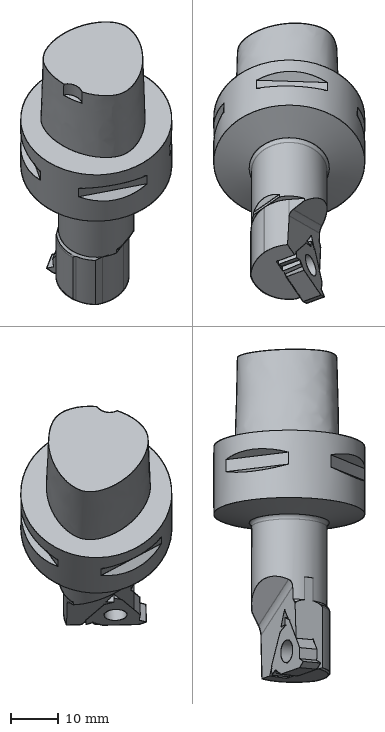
import cadquery as cq
import math

TOTAL_HEIGHT = 69
HEAD_BOTTOM_Z = 0.55
HEAD_CONE_Z = 14.15
HEAD_CONE_BREAK_Z = 14.55
NECK_BOTTOM_Z = 15.2
FLAT_TOP_Z = 20.15
NECK_FILLET_Z = 32.6
CONE_BOTTOM_Z = 33.5
FLANGE_BOTTOM_Z = 35.4
FLANGE_TOP_Z = 50.0

FLANGE_RADIUS = 32.0 / 2
NECK_RADIUS = 16.0 / 2
HEAD_RADIUS = 8.6
HEAD_CONE_BREAK_RADIUS = 8.5

SHANK_TOP_RADIUS = 10.55
SHANK_BASE_RADIUS = 11.05
LOBE_HEIGHT = 0.7
SHANK_POINTS = 36

KEYWAY_RADIUS = 3.3
KEYWAY_CENTRE_Y = -12.15
KEYWAY_DEPTH = 3.45

GROOVE_COUNT = 4
GROOVE_START_ANGLE = 45
GROOVE_Z = 43.95
GROOVE_FLOOR_HEIGHT = 2.6
GROOVE_FLOOR_DISTANCE = 14.15
GROOVE_FLANK_ANGLE = 30

MIDDLE_RADIUS = 8.4
OUTER_ARC_END_X = -0.7
MIDDLE_ARC_START_X = 0
MIDDLE_ARC_END_X = 4.15
RELIEF_ARC_START_X = 5.2
RELIEF_SIDE = (7.1, -0.7)
RELIEF_ARC_END = (5.25, 4.7)
BACK_ARC_START_X = 3.25
HEAD_CHAMFER = 0.35
NOTCH_TOP_Z = 16.9

TURN = 15
LEAN = 2
FACE_OFFSET = 2.9
FLAT_DISTANCE = 7.95

WALL_Z = 11.5
WALL_SLOPE_X = -0.8
WALL_SLOPE_Y = 0.75
WALL_FILLET = 2.1
CUTTER_SIZE = 55.2

INSERT_CENTRE = (4.0, 4.5)
INSERT_THICKNESS = 4.3
INSERT_CORNERS = 3
SCREW_HOLE_DIAMETER = 4.8
CORNER_TIP = (10.55, 1.05)
CORNER_OUTLINE = [(9.25, 4.3), (9.05, 1.9), CORNER_TIP, (9, 0)]
TIP_CLEARANCE = [(5.8, -1.8), (9.1, 0), (5.8, 1.8)]

cos_turn = math.cos(math.radians(TURN))
sin_turn = math.sin(math.radians(TURN))
cos_lean = math.cos(math.radians(LEAN))
sin_lean = math.sin(math.radians(LEAN))

rake_plane = cq.Plane(
    origin=(-FACE_OFFSET * sin_turn, FACE_OFFSET * cos_turn, 0),
    xDir=(-cos_turn, -sin_turn, 0),
    normal=(-sin_turn * cos_lean, cos_turn * cos_lean, -sin_lean),
)


def lobed_point(radius, angle):
    """Point of the constant-width curve, with one lobe toward +Y."""
    reach = radius + LOBE_HEIGHT * math.cos(3 * angle)
    swing = -3 * LOBE_HEIGHT * math.sin(3 * angle)
    along = reach * math.cos(angle) - swing * math.sin(angle)
    across = reach * math.sin(angle) + swing * math.cos(angle)
    return (-across, along)


def lobed_outline(radius):
    angles = [2 * math.pi * i / SHANK_POINTS for i in range(SHANK_POINTS)]
    return [lobed_point(radius, angle) for angle in angles]


def make_shank():
    shank = (
        cq.Workplane("XY", origin=(0, 0, FLANGE_TOP_Z))
        .spline(lobed_outline(SHANK_BASE_RADIUS), periodic=True)
        .close()
        .workplane(offset=TOTAL_HEIGHT - FLANGE_TOP_Z)
        .spline(lobed_outline(SHANK_TOP_RADIUS), periodic=True)
        .close()
        .loft()
    )
    keyway = (
        cq.Workplane("XY", origin=(0, KEYWAY_CENTRE_Y, TOTAL_HEIGHT - KEYWAY_DEPTH))
        .circle(KEYWAY_RADIUS)
        .extrude(KEYWAY_DEPTH)
    )
    return shank.cut(keyway)


def make_flange_and_neck():
    fillet_drop = CONE_BOTTOM_Z - NECK_FILLET_Z
    cone_end_radius = NECK_RADIUS + fillet_drop / 2
    return (
        cq.Workplane("XZ")
        .moveTo(0, NECK_BOTTOM_Z)
        .lineTo(NECK_RADIUS, NECK_BOTTOM_Z)
        .lineTo(NECK_RADIUS, NECK_FILLET_Z)
        .tangentArcPoint((cone_end_radius, CONE_BOTTOM_Z), relative=False)
        .lineTo(FLANGE_RADIUS, FLANGE_BOTTOM_Z)
        .lineTo(FLANGE_RADIUS, FLANGE_TOP_Z)
        .lineTo(0, FLANGE_TOP_Z)
        .close()
        .revolve(360, (0, 0), (0, 1))
    )


def make_groove(angle):
    depth = FLANGE_RADIUS - GROOVE_FLOOR_DISTANCE
    half_floor = GROOVE_FLOOR_HEIGHT / 2
    half_mouth = half_floor + depth * math.tan(math.radians(GROOVE_FLANK_ANGLE))
    return (
        cq.Workplane("XZ")
        .polyline([
            (GROOVE_FLOOR_DISTANCE, GROOVE_Z - half_floor),
            (FLANGE_RADIUS, GROOVE_Z - half_mouth),
            (FLANGE_RADIUS, GROOVE_Z + half_mouth),
            (GROOVE_FLOOR_DISTANCE, GROOVE_Z + half_floor),
        ])
        .close()
        .extrude(FLANGE_RADIUS, both=True)
        .rotate((0, 0, 0), (0, 0, 1), angle)
    )


def turned(outward, sideways):
    """Point given by its distances along and across the insert's outward direction."""
    return (
        -outward * cos_turn - sideways * sin_turn,
        -outward * sin_turn + sideways * cos_turn,
    )


def lower_point(radius, x):
    """Point on the -Y half of a circle about the tool axis."""
    return (x, -math.sqrt(radius**2 - x**2))


def middle_of(radius, x_start, x_end):
    return lower_point(radius, (x_start + x_end) / 2)


def make_head():
    half_flat = math.sqrt(HEAD_RADIUS**2 - FLAT_DISTANCE**2)
    flat_end = turned(FLAT_DISTANCE, -half_flat)
    flat_start = turned(FLAT_DISTANCE, NECK_RADIUS)
    outline = (
        cq.Workplane("XY", origin=(0, 0, HEAD_BOTTOM_Z))
        .moveTo(*flat_start)
        .lineTo(*flat_end)
        .threePointArc(
            middle_of(HEAD_RADIUS, flat_end[0], OUTER_ARC_END_X),
            lower_point(HEAD_RADIUS, OUTER_ARC_END_X),
        )
        .lineTo(*lower_point(MIDDLE_RADIUS, MIDDLE_ARC_START_X))
        .threePointArc(
            middle_of(MIDDLE_RADIUS, MIDDLE_ARC_START_X, MIDDLE_ARC_END_X),
            lower_point(MIDDLE_RADIUS, MIDDLE_ARC_END_X),
        )
        .lineTo(*lower_point(NECK_RADIUS, RELIEF_ARC_START_X))
        .threePointArc(RELIEF_SIDE, RELIEF_ARC_END)
        .lineTo(BACK_ARC_START_X, -lower_point(NECK_RADIUS, BACK_ARC_START_X)[1])
        .radiusArc((0, NECK_RADIUS), -NECK_RADIUS)
        .close()
    )
    head = outline.extrude(NECK_BOTTOM_Z - HEAD_BOTTOM_Z)
    envelope = (
        cq.Workplane("XZ")
        .polyline([
            (0, HEAD_BOTTOM_Z),
            (HEAD_RADIUS - HEAD_CHAMFER, HEAD_BOTTOM_Z),
            (HEAD_RADIUS, HEAD_BOTTOM_Z + HEAD_CHAMFER),
            (HEAD_RADIUS, HEAD_CONE_Z),
            (HEAD_CONE_BREAK_RADIUS, HEAD_CONE_BREAK_Z),
            (NECK_RADIUS, NECK_BOTTOM_Z),
            (0, NECK_BOTTOM_Z),
        ])
        .close()
        .revolve(360, (0, 0), (0, 1))
    )
    return head.intersect(envelope)


def make_side_flat():
    """Cutter that carries the flat of the head a little way up the neck."""
    return (
        cq.Workplane("XY")
        .box(FLANGE_RADIUS, 2 * FLANGE_RADIUS, FLAT_TOP_Z, centered=(False, True, False))
        .translate((FLAT_DISTANCE, 0, 0))
        .rotate((0, 0, 0), (0, 0, 1), 180 + TURN)
    )


def make_neck_notch():
    """Cutter that runs the relieved side of the head out into the neck at 45 degrees."""
    notch_x = RELIEF_SIDE[0]
    notch_rise = FLANGE_RADIUS - notch_x
    notch_start_z = NOTCH_TOP_Z - (NECK_RADIUS - notch_x)
    return (
        cq.Workplane("XZ")
        .polyline([
            (notch_x, 0),
            (FLANGE_RADIUS, 0),
            (FLANGE_RADIUS, notch_start_z + notch_rise),
            (notch_x, notch_start_z),
        ])
        .close()
        .extrude(FLANGE_RADIUS, both=True)
    )


def make_chip_pocket():
    """Cutter in front of the rake face and below the sloping wall."""
    in_front = (
        cq.Workplane(rake_plane)
        .rect(CUTTER_SIZE, CUTTER_SIZE)
        .extrude(CUTTER_SIZE)
    )
    wall_plane = cq.Plane(
        origin=(0, 0, WALL_Z),
        xDir=(1, 0, WALL_SLOPE_X),
        normal=(-WALL_SLOPE_X, -WALL_SLOPE_Y, 1),
    )
    below_wall = (
        cq.Workplane(wall_plane)
        .rect(2 * CUTTER_SIZE, 2 * CUTTER_SIZE)
        .extrude(-CUTTER_SIZE)
    )
    pocket = in_front.intersect(below_wall)
    wall_direction = rake_plane.zDir.cross(wall_plane.zDir)
    wall_foot = (
        pocket.faces(cq.selectors.DirectionMinMaxSelector(wall_plane.zDir, True))
        .edges(cq.selectors.ParallelDirSelector(wall_direction))
        .edges(cq.selectors.DirectionMinMaxSelector(rake_plane.zDir, False))
    )
    return wall_foot.fillet(WALL_FILLET)


def about_centre(point, angle):
    """Point of the insert turned by an angle about the insert's centre."""
    out = point[0] - INSERT_CENTRE[0]
    up = point[1] - INSERT_CENTRE[1]
    cos_angle = math.cos(math.radians(angle))
    sin_angle = math.sin(math.radians(angle))
    return (
        INSERT_CENTRE[0] + out * cos_angle - up * sin_angle,
        INSERT_CENTRE[1] + out * sin_angle + up * cos_angle,
    )


def corner_angles():
    return [-360 / INSERT_CORNERS * i for i in range(INSERT_CORNERS)]


def make_insert_blank():
    outline = [
        about_centre(point, angle)
        for angle in corner_angles()
        for point in CORNER_OUTLINE
    ]
    return cq.Workplane(rake_plane).polyline(outline).close().extrude(-INSERT_THICKNESS)


def make_insert():
    screw_hole = (
        cq.Workplane(rake_plane)
        .center(*INSERT_CENTRE)
        .circle(SCREW_HOLE_DIAMETER / 2)
        .extrude(-INSERT_THICKNESS)
    )
    return make_insert_blank().cut(screw_hole)


def make_tip_clearance(angle):
    tip_out = CORNER_TIP[0] - INSERT_CENTRE[0]
    tip_up = CORNER_TIP[1] - INSERT_CENTRE[1]
    tip_angle = math.degrees(math.atan2(tip_up, tip_out))
    outline = [
        about_centre((INSERT_CENTRE[0] + along, INSERT_CENTRE[1] + across), tip_angle + angle)
        for along, across in TIP_CLEARANCE
    ]
    return cq.Workplane(rake_plane).polyline(outline).close().extrude(-INSERT_THICKNESS)


def make_holder():
    holder = make_flange_and_neck().union(make_shank()).union(make_head())
    for i in range(GROOVE_COUNT):
        holder = holder.cut(make_groove(GROOVE_START_ANGLE + 360 / GROOVE_COUNT * i))
    holder = holder.cut(make_side_flat())
    holder = holder.cut(make_neck_notch())
    holder = holder.cut(make_chip_pocket())
    holder = holder.cut(make_insert_blank())
    for angle in corner_angles()[1:]:
        holder = holder.cut(make_tip_clearance(angle))
    return holder


holder = make_holder()
insert = make_insert()
result = cq.Compound.makeCompound([holder.val(), insert.val()])